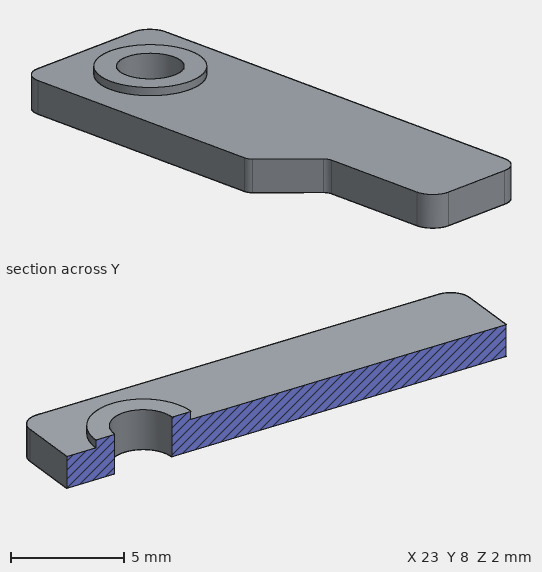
import cadquery as cq

length = 23.0
width = 8.0
plate_thickness = 1.6
corner_radius = 1.0

tail_width = 5.5
shoulder_start = 14.0
shoulder_radius = 0.5
step = width - tail_width
shoulder_end = shoulder_start + step

total_height = 2.0
boss_diameter = 5.0
hole_diameter = 3.0
boss_x = width / 2
boss_y = width / 2


def make_plate():
    outline = [
        (0, 0),
        (shoulder_start, 0),
        (shoulder_end, step),
        (length, step),
        (length, width),
        (0, width),
    ]
    plate = cq.Workplane("XY").polyline(outline).close().extrude(plate_thickness)
    end_corners = plate.edges("|Z and (<X or >X)")
    plate = end_corners.fillet(corner_radius)
    shoulder = plate.faces(cq.selectors.ParallelDirSelector(cq.Vector(1, -1, 0)))
    return shoulder.edges("|Z").fillet(shoulder_radius)


def make_cylinder(diameter):
    return cq.Workplane("XY").center(boss_x, boss_y).circle(diameter / 2).extrude(total_height)


boss = make_cylinder(boss_diameter)
hole = make_cylinder(hole_diameter)
result = make_plate().union(boss).cut(hole)